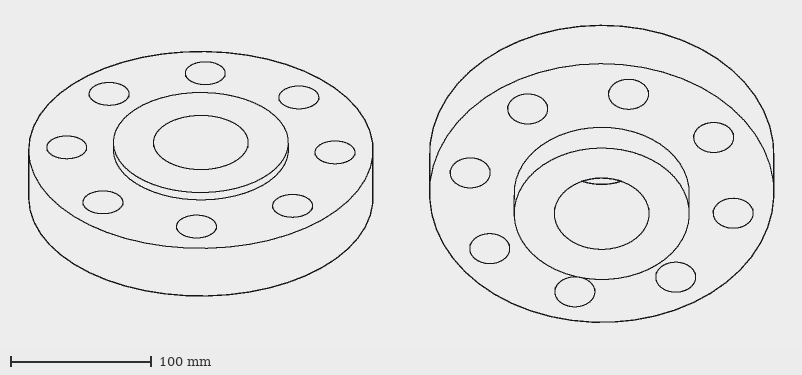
import cadquery as cq

flange_diameter = 244.4
flange_thickness = 41.3

hub_diameter = 124.1
overall_height = 70.0
raised_face_height = 6.4
hub_height = overall_height - flange_thickness - raised_face_height

bore_diameter = 67.2
bolt_count = 8
bolt_hole_diameter = 28.3
bolt_circle_diameter = 190.3
first_bolt_angle = 180.0 / bolt_count

core = cq.Workplane("XY").circle(hub_diameter / 2).extrude(overall_height)

flange = (
    cq.Workplane("XY")
    .workplane(offset=hub_height)
    .circle(flange_diameter / 2)
    .extrude(flange_thickness)
)

bore = cq.Workplane("XY").circle(bore_diameter / 2).extrude(overall_height)

bolt_holes = (
    cq.Workplane("XY")
    .polarArray(bolt_circle_diameter / 2, first_bolt_angle, 360, bolt_count)
    .circle(bolt_hole_diameter / 2)
    .extrude(overall_height)
)

result = core.union(flange).cut(bore).cut(bolt_holes)